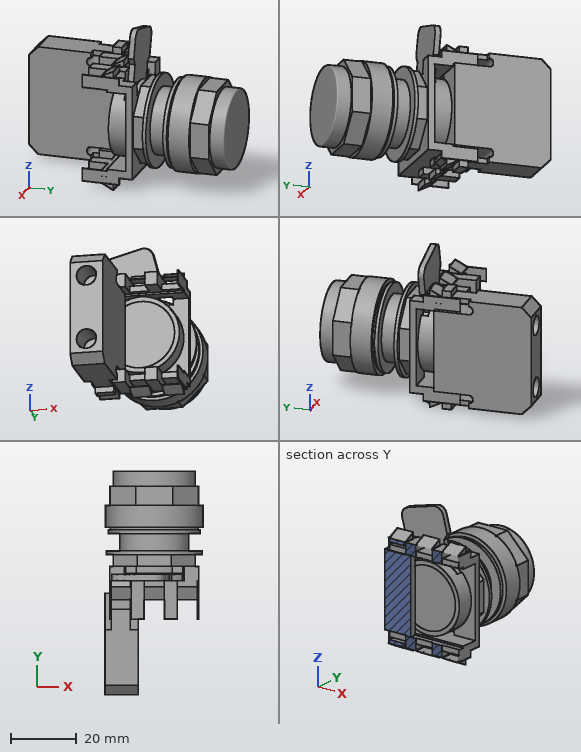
import cadquery as cq
import math


Y_TIP = 29.0
Y_CAP_BASE = 24.4
Y_BEZEL_FRONT = 18.5
Y_BEZEL_BACK = 11.8
Y_FLANGE_FRONT = 11.1
Y_FLANGE_BACK = 9.9
Y_WASHER_FRONT = 4.7
Y_NUT_FRONT = 3.6
Y_PLATE_BACK = -2.1
Y_SHOULDER = -4.3
Y_HUB_END = -8.1
Y_FINGER_END = -16.0
Y_BLOCK_END = -39.0

OCTAGON_SIDES = 8
CAP_R = 12.5
CAP_EDGE = 0.4
GUARD_FLATS = 27.0
BEZEL_R = 14.8
NECK_R = 13.4
FLANGE_R = 14.0
BARREL_R = 10.55
WASHER_R = 14.6
NUT_FLATS = 25.0

COLLAR_HALF_X = 13.5
PLATE_HALF_Z = 15.0
ARM_HALF_Z = 17.2
WINDOW_HALF_Z = 12.5
BLOCK_SEAT_Z = 13.1
HUB_R = 12.05
HUB_FLAT_Z = 10.75
HUB_SEAT_Z = 8.6
SLOT_PITCH = 10.05
SLOT_WIDTH = 6.1
SLOT_STARTS = [position * SLOT_PITCH - SLOT_WIDTH / 2 for position in (-1, 0, 1)]
RAMP_FRONT_Y = -6.2
RAMP_TOE_Y = -10.1
STRIP_END_Y = -9.9
RAMP_PEAK_Z = 19.25
RAMP_BOTTOM_Z = 17.0
LEVER_SLOT_TOP_HALF = 9.05
LEVER_SLOT_FLOOR_HALF = 8.65

LEVER_ANGLE = 15
LEVER_FRONT_Y = -2.45
LEVER_LEFT = -6.6
LEVER_RIGHT = 9.65
LEVER_TOP = 27.75
LEVER_HEAD_BASE = 18.7
LEVER_NECK_INSET = 1.8
LEVER_FOOT = 6.8
LEVER_CORNER_R = 3.0

BLOCK_LEFT = -14.95
BLOCK_WIDTH = 10.1
BLOCK_HALF_Z = 17.4
BLOCK_CHAMFER = 3.0
NOTCH_END_Y = -19.2
TONGUE_LEFT = -13.05
TONGUE_WIDTH = 5.8
TONGUE_BOTTOM_Z = 15.8
TONGUE_TIP_Y = -4.35
TONGUE_TIP_Z = 17.0
HOOK_Z = 18.1
POST_BACK_Y = -13.05
POST_TOP_Z = 19.25
TERMINAL_R = 3.05
TERMINAL_Z = 10.05
TERMINAL_DEPTH = 10.2


def box(x0, x1, y0, y1, z0, z1):
    """Box between two opposite corners."""
    return cq.Workplane("XY").box(x1 - x0, y1 - y0, z1 - z0, centered=False).translate((x0, y0, z0))


def disc(radius, y_front, y_back):
    """Cylinder on the button axis; y_front is the larger Y."""
    return cq.Workplane("XZ").workplane(offset=-y_front).circle(radius).extrude(y_front - y_back)


def octagon(across_flats, y_front, y_back):
    """Octagonal prism on the button axis with flats facing X and Z."""
    across_corners = across_flats / math.cos(math.pi / OCTAGON_SIDES)
    prism = cq.Workplane("XZ").workplane(offset=-y_front).polygon(OCTAGON_SIDES, across_corners)
    return prism.extrude(y_front - y_back).rotate((0, 0, 0), (0, 1, 0), 180 / OCTAGON_SIDES)


def side_profile(points, x0, x1):
    """Prism along X from (y, z) points."""
    return cq.Workplane("YZ").workplane(offset=x0).polyline(points).close().extrude(x1 - x0)


def with_mirror(shape):
    """The shape together with its mirror image below the XY plane."""
    return shape.union(shape.mirror("XY"))


def make_cap():
    return disc(CAP_R, Y_TIP, Y_CAP_BASE).faces(">Y").edges().fillet(CAP_EDGE)


def make_head():
    head = octagon(GUARD_FLATS, Y_CAP_BASE, Y_BEZEL_FRONT)
    head = head.union(disc(BEZEL_R, Y_BEZEL_FRONT, Y_BEZEL_BACK))
    head = head.union(disc(NECK_R, Y_BEZEL_BACK, Y_FLANGE_FRONT))
    head = head.union(disc(FLANGE_R, Y_FLANGE_FRONT, Y_FLANGE_BACK))
    return head.union(disc(BARREL_R, Y_FLANGE_BACK, Y_HUB_END))


def make_washer():
    return disc(WASHER_R, Y_WASHER_FRONT, Y_NUT_FRONT).cut(disc(BARREL_R, Y_WASHER_FRONT, Y_NUT_FRONT))


def make_nut():
    return octagon(NUT_FLATS, Y_NUT_FRONT, 0).cut(disc(BARREL_R, Y_NUT_FRONT, 0))


def make_hub():
    """Tube through the collar, cut away on top for the lever and flattened below."""
    lever_seat = box(-HUB_R, HUB_R, Y_SHOULDER, Y_PLATE_BACK, HUB_SEAT_Z, HUB_R)
    bottom_flat = box(-HUB_R, HUB_R, Y_SHOULDER, Y_PLATE_BACK, -HUB_R, -HUB_FLAT_Z)
    hub = disc(HUB_R, 0, Y_HUB_END).cut(lever_seat).cut(bottom_flat)
    return hub.cut(disc(BARREL_R, 0, Y_HUB_END))


def make_latch_cuts():
    """Slots through the upper arm, one per contact block position."""
    cuts = cq.Workplane("XY")
    for x0 in SLOT_STARTS:
        x1 = x0 + SLOT_WIDTH
        cuts = cuts.union(box(x0, x1, STRIP_END_Y, 0, PLATE_HALF_Z, ARM_HALF_Z))
        cuts = cuts.union(box(x0, x1, Y_FINGER_END, STRIP_END_Y, BLOCK_SEAT_Z, ARM_HALF_Z))
    return cuts


def make_ramps():
    """Latch ramps bridging the slots of the upper arm."""
    points = [
        (RAMP_FRONT_Y, RAMP_BOTTOM_Z),
        (RAMP_FRONT_Y, RAMP_PEAK_Z),
        (RAMP_TOE_Y, ARM_HALF_Z),
        (RAMP_TOE_Y, RAMP_BOTTOM_Z),
    ]
    ramps = cq.Workplane("XY")
    for x0 in SLOT_STARTS:
        ramps = ramps.union(side_profile(points, x0, x0 + SLOT_WIDTH))
    return ramps


def make_lever_slot():
    """Slot with leaning ends in the top of the collar."""
    outline = [
        (-LEVER_SLOT_FLOOR_HALF, HUB_FLAT_Z),
        (LEVER_SLOT_FLOOR_HALF, HUB_FLAT_Z),
        (LEVER_SLOT_TOP_HALF, PLATE_HALF_Z),
        (-LEVER_SLOT_TOP_HALF, PLATE_HALF_Z),
    ]
    return cq.Workplane("XZ").polyline(outline).close().extrude(-Y_SHOULDER)


def make_collar():
    half_x = COLLAR_HALF_X
    upper_profile = [
        (0, 0),
        (0, PLATE_HALF_Z),
        (Y_SHOULDER, PLATE_HALF_Z),
        (Y_SHOULDER, ARM_HALF_Z),
        (Y_FINGER_END, ARM_HALF_Z),
        (Y_FINGER_END, BLOCK_SEAT_Z),
        (Y_HUB_END, BLOCK_SEAT_Z),
        (Y_HUB_END, WINDOW_HALF_Z),
        (Y_PLATE_BACK, WINDOW_HALF_Z),
        (Y_PLATE_BACK, 0),
    ]
    upper = side_profile(upper_profile, -half_x, half_x).cut(make_latch_cuts()).union(make_ramps())
    collar = with_mirror(upper).cut(make_lever_slot())
    flat_half = math.sqrt(HUB_R**2 - HUB_FLAT_Z**2)
    collar = collar.cut(box(-flat_half, flat_half, Y_PLATE_BACK, 0, -WINDOW_HALF_Z, -HUB_FLAT_Z))
    collar = collar.cut(disc(BARREL_R, 0, Y_HUB_END))
    return collar.union(make_hub())


def make_lever():
    neck_base = LEVER_HEAD_BASE - LEVER_NECK_INSET
    neck_left = LEVER_LEFT + LEVER_NECK_INSET
    neck_right = LEVER_RIGHT - LEVER_NECK_INSET
    outline = [
        (LEVER_LEFT, LEVER_TOP),
        (LEVER_RIGHT, LEVER_TOP),
        (LEVER_RIGHT, LEVER_HEAD_BASE),
        (neck_right, neck_base),
        (neck_right, LEVER_FOOT),
        (neck_left, LEVER_FOOT),
        (neck_left, neck_base),
        (LEVER_LEFT, LEVER_HEAD_BASE),
    ]
    plate = cq.Workplane("XZ").workplane(offset=-LEVER_FRONT_Y).polyline(outline).close()
    plate = plate.extrude(LEVER_FRONT_Y - Y_SHOULDER)
    plate = plate.faces(">Z").edges("|Y").fillet(LEVER_CORNER_R)
    plate = plate.rotate((0, 0, 0), (0, 1, 0), -LEVER_ANGLE)

    foot = disc(HUB_R, LEVER_FRONT_Y, Y_SHOULDER)
    below_seat = box(-HUB_R, HUB_R, Y_SHOULDER, LEVER_FRONT_Y, -HUB_R, HUB_SEAT_Z)
    barrel = disc(BARREL_R, LEVER_FRONT_Y, Y_SHOULDER)
    return plate.union(foot).cut(below_seat).cut(barrel)


def make_block():
    left = BLOCK_LEFT
    right = BLOCK_LEFT + BLOCK_WIDTH
    middle = (left + right) / 2

    block = box(left, right, Y_BLOCK_END, Y_HUB_END, -BLOCK_HALF_Z, BLOCK_HALF_Z)
    block = block.faces("<Y").edges("|X").chamfer(BLOCK_CHAMFER)

    notch_r = (TONGUE_BOTTOM_Z - BLOCK_SEAT_Z) / 2
    notch_z = BLOCK_SEAT_Z + notch_r
    notch = box(left, right, NOTCH_END_Y, Y_HUB_END, BLOCK_SEAT_Z, BLOCK_HALF_Z)
    notch_end = cq.Workplane("YZ").workplane(offset=left).center(NOTCH_END_Y, notch_z)
    notch = notch.union(notch_end.circle(notch_r).extrude(BLOCK_WIDTH))
    block = block.cut(with_mirror(notch))

    tongue_points = [
        (NOTCH_END_Y, TONGUE_BOTTOM_Z),
        (TONGUE_TIP_Y, TONGUE_BOTTOM_Z),
        (TONGUE_TIP_Y, TONGUE_TIP_Z),
        (RAMP_FRONT_Y, HOOK_Z),
        (RAMP_FRONT_Y, RAMP_BOTTOM_Z),
        (RAMP_TOE_Y, RAMP_BOTTOM_Z),
        (RAMP_TOE_Y, POST_TOP_Z),
        (POST_BACK_Y, POST_TOP_Z),
        (POST_BACK_Y, BLOCK_HALF_Z),
        (NOTCH_END_Y, BLOCK_HALF_Z),
    ]
    block = block.union(with_mirror(side_profile(tongue_points, TONGUE_LEFT, TONGUE_LEFT + TONGUE_WIDTH)))

    holes = cq.Workplane("XZ").workplane(offset=-Y_BLOCK_END)
    holes = holes.pushPoints([(middle, TERMINAL_Z), (middle, -TERMINAL_Z)])
    return block.cut(holes.circle(TERMINAL_R).extrude(-TERMINAL_DEPTH))


cap = make_cap()
head = make_head()
washer = make_washer()
nut = make_nut()
collar = make_collar()
lever = make_lever()
contact_block = make_block()

bodies = [cap, head, washer, nut, collar, lever, contact_block]
result = cq.Compound.makeCompound([body.solids().val() for body in bodies])